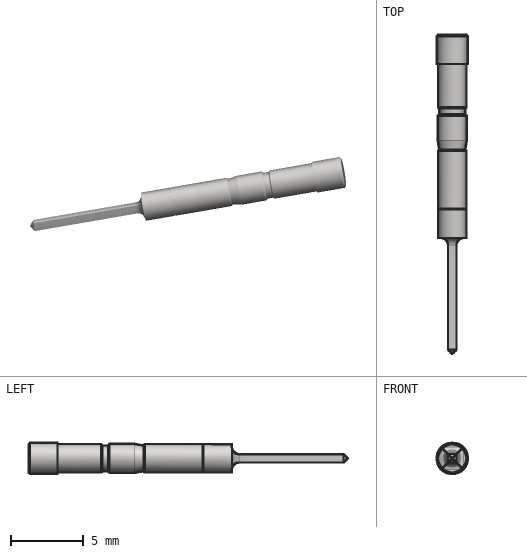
import cadquery as cq

length = 22.0
head_end_y = length / 2
pin_tip_y = -length / 2

head_diameter = 2.15
barrel_diameter = 1.98
neck_diameter = 1.8
collar_diameter = 2.02
ring_groove_diameter = 1.94

head_length = 2.0
neck_start = 5.0
collar_start = 5.59
collar_end = 7.28
rear_barrel_start = 8.0
ring_groove_start = 11.97
barrel_length = 14.01

head_chamfer = 0.1
barrel_step_length = (barrel_diameter - neck_diameter) / 2
collar_step_length = (collar_diameter - neck_diameter) / 2
ring_groove_width = 0.09

pin_width = 0.6
pin_flare_radius = 0.48
pin_tip_length = pin_width / 2


def make_barrel():
    """Revolve the head, neck, collar and barrel around the Y axis."""
    sections = [
        (head_diameter - 2 * head_chamfer, 0),
        (head_diameter, head_chamfer),
        (head_diameter, head_length),
        (barrel_diameter, head_length),
        (barrel_diameter, neck_start),
        (neck_diameter, neck_start + barrel_step_length),
        (neck_diameter, collar_start - collar_step_length),
        (collar_diameter, collar_start),
        (collar_diameter, collar_end),
        (neck_diameter, rear_barrel_start - barrel_step_length),
        (barrel_diameter, rear_barrel_start),
        (barrel_diameter, ring_groove_start),
        (ring_groove_diameter, ring_groove_start),
        (ring_groove_diameter, ring_groove_start + ring_groove_width),
        (barrel_diameter, ring_groove_start + ring_groove_width),
        (barrel_diameter, barrel_length),
    ]
    outline = [(diameter / 2, head_end_y - distance) for diameter, distance in sections]
    outline.append((0, head_end_y - barrel_length))
    outline.insert(0, (0, head_end_y))
    return cq.Workplane("XY").polyline(outline).close().revolve(360, (0, 0, 0), (0, 1, 0))


def make_pin_slab(plane):
    """Extrude the pin outline, with its flared root and pointed tip, through the barrel width."""
    half_width = pin_width / 2
    root_y = head_end_y - barrel_length
    flare_end_y = root_y - pin_flare_radius
    flare_half_width = half_width + pin_flare_radius
    shoulder_y = pin_tip_y + pin_tip_length
    embedded_y = root_y + pin_width
    return (
        cq.Workplane(plane)
        .moveTo(flare_half_width, embedded_y)
        .lineTo(flare_half_width, root_y)
        .radiusArc((half_width, flare_end_y), -pin_flare_radius)
        .lineTo(half_width, shoulder_y)
        .lineTo(0, pin_tip_y)
        .lineTo(-half_width, shoulder_y)
        .lineTo(-half_width, flare_end_y)
        .radiusArc((-flare_half_width, root_y), -pin_flare_radius)
        .lineTo(-flare_half_width, embedded_y)
        .close()
        .extrude(barrel_diameter, both=True)
    )


def make_pin():
    """Cross two slabs into a square pin with mitred flares, trimmed to the barrel diameter."""
    envelope = cq.Workplane("XZ").circle(barrel_diameter / 2).extrude(length / 2)
    return make_pin_slab("XY").intersect(make_pin_slab("ZY")).intersect(envelope)


result = make_barrel().union(make_pin())